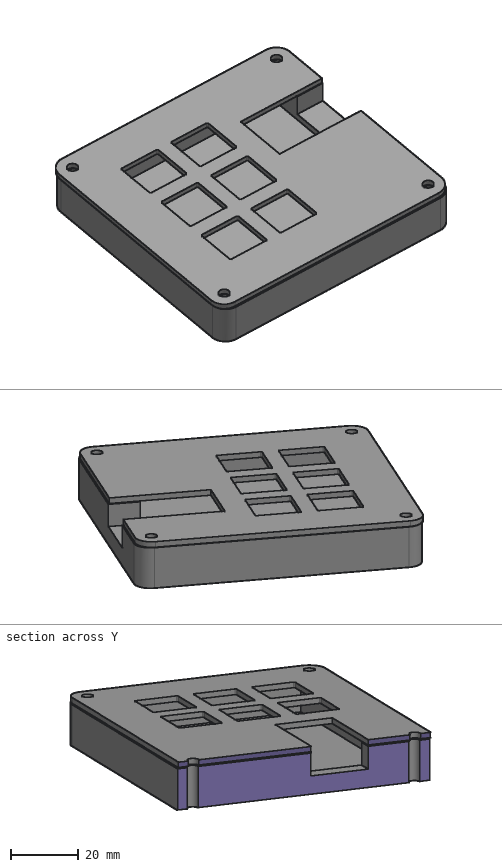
import cadquery as cq

TOTAL_X = 82.2
TOTAL_Y = 88.0
TOTAL_Z = 14.9

LID_OFFSET = 0.3
LID_THICKNESS = 1.8
LID_GAP = 0.3

PLATE_X = TOTAL_X - LID_OFFSET
PLATE_Y = TOTAL_Y - LID_OFFSET
CORNER_RADIUS = 5.0
SCREW_HOLE_DIAMETER = 3.4

CASE_HEIGHT = TOTAL_Z - LID_THICKNESS - LID_GAP
WALL = 9.7
FLOOR = 3.6
CABLE_SLOT_FLOOR = 5.8

SLOT_WIDTH = 18.5
SLOT_CENTER_X = -11.5
SLOT_END_Y = 12.75

KEY_SIZE = 14.0
KEY_CORNER_RADIUS = 0.4
KEY_PITCH = 19.0
KEY_COLUMNS = 3
KEY_ROWS = 2
KEYS_CENTER_X = -0.6
KEYS_CENTER_Y = -11.7


def make_plate(height, shift, bottom_z):
    """Rounded plate with a screw hole concentric with each corner."""
    return (
        cq.Workplane("XY", origin=(shift, shift, bottom_z))
        .rect(PLATE_X, PLATE_Y)
        .extrude(height)
        .edges("|Z")
        .fillet(CORNER_RADIUS)
        .faces(">Z")
        .workplane(origin=(shift, shift, bottom_z + height))
        .rect(PLATE_X - 2 * CORNER_RADIUS, PLATE_Y - 2 * CORNER_RADIUS, forConstruction=True)
        .vertices()
        .hole(SCREW_HOLE_DIAMETER)
    )


def make_slot_cutter(end_y, bottom_z):
    """Block that opens the cable slot from end_y out through the +Y side."""
    return (
        cq.Workplane("XY", origin=(SLOT_CENTER_X, end_y, bottom_z))
        .box(SLOT_WIDTH, TOTAL_Y / 2 - end_y, TOTAL_Z, centered=(True, False, False))
    )


def make_case():
    """Open-topped tray with a cable slot through its +Y wall."""
    shift = LID_OFFSET / 2
    inner_x = PLATE_X - 2 * WALL
    inner_y = PLATE_Y - 2 * WALL
    cavity = (
        cq.Workplane("XY", origin=(shift, shift, FLOOR))
        .rect(inner_x, inner_y)
        .extrude(CASE_HEIGHT - FLOOR)
    )
    slot = make_slot_cutter(shift, CABLE_SLOT_FLOOR)
    return make_plate(CASE_HEIGHT, shift, 0).cut(cavity).cut(slot)


def make_lid():
    """Flat cover with a grid of key windows and the cable slot."""
    bottom_z = TOTAL_Z - LID_THICKNESS
    windows = (
        cq.Workplane("XY", origin=(KEYS_CENTER_X, KEYS_CENTER_Y, bottom_z))
        .rarray(KEY_PITCH, KEY_PITCH, KEY_COLUMNS, KEY_ROWS)
        .rect(KEY_SIZE, KEY_SIZE)
        .extrude(LID_THICKNESS)
        .edges("|Z")
        .fillet(KEY_CORNER_RADIUS)
    )
    slot = make_slot_cutter(SLOT_END_Y, bottom_z)
    return make_plate(LID_THICKNESS, -LID_OFFSET / 2, bottom_z).cut(windows).cut(slot)


case = make_case()
lid = make_lid()

result = cq.Compound.makeCompound([case.solids().val(), lid.solids().val()])